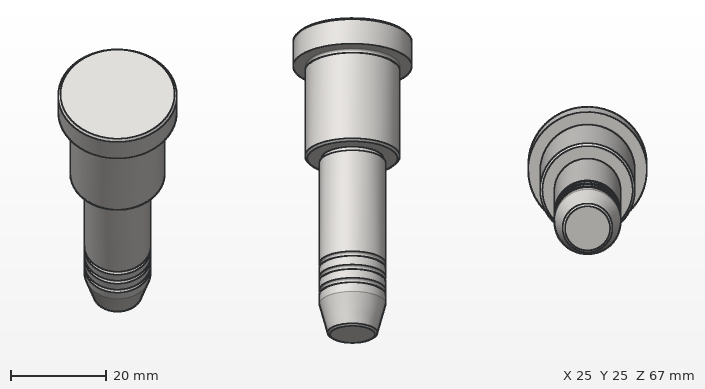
import cadquery as cq
import math

total_height = 67.0
head_radius = 12.495
head_height = 6.0
shoulder_radius = 10.0
shoulder_bottom = 40.0
shank_radius = 7.0
taper_height = 7.0
taper_angle = math.radians(15)
edge_chamfer = 0.5
tip_chamfer = 0.4

groove_width = 1.0
groove_depth = groove_width / 2
groove_pitch = 3.0
groove_count = 3
lowest_groove_center = 9.5

head_bottom = total_height - head_height
tip_radius = shank_radius - taper_height * math.tan(taper_angle)


def cylinder(radius, bottom, top):
    return cq.Workplane("XY").workplane(offset=bottom).circle(radius).extrude(top - bottom)


def round_groove(surface_radius, center_height):
    """Ring with a round section, centred on a cylindrical surface."""
    return cq.Workplane("XZ").center(surface_radius, center_height).circle(groove_depth).revolve(
        360, (-surface_radius, 0), (-surface_radius, 1)
    )


def relief_ring(surface_radius, bottom):
    """Square-sided ring that cuts a relief into a cylindrical surface."""
    outer = cylinder(surface_radius, bottom, bottom + groove_width)
    return outer.cut(cylinder(surface_radius - groove_depth, bottom, bottom + groove_width))


tip = (
    cq.Workplane("XY")
    .circle(tip_radius)
    .workplane(offset=taper_height)
    .circle(shank_radius)
    .loft(ruled=True)
    .faces("<Z")
    .chamfer(tip_chamfer)
)
shank = cylinder(shank_radius, taper_height, shoulder_bottom)
shank = shank.cut(relief_ring(shank_radius, shoulder_bottom - groove_width))

for index in range(groove_count):
    shank = shank.cut(round_groove(shank_radius, lowest_groove_center + index * groove_pitch))

shoulder = cylinder(shoulder_radius, shoulder_bottom, head_bottom).faces("<Z").chamfer(edge_chamfer)
shoulder = shoulder.cut(round_groove(shoulder_radius, head_bottom - groove_depth))

head = cylinder(head_radius, head_bottom, total_height).faces(">Z").chamfer(edge_chamfer)

result = tip.union(shank).union(shoulder).union(head)